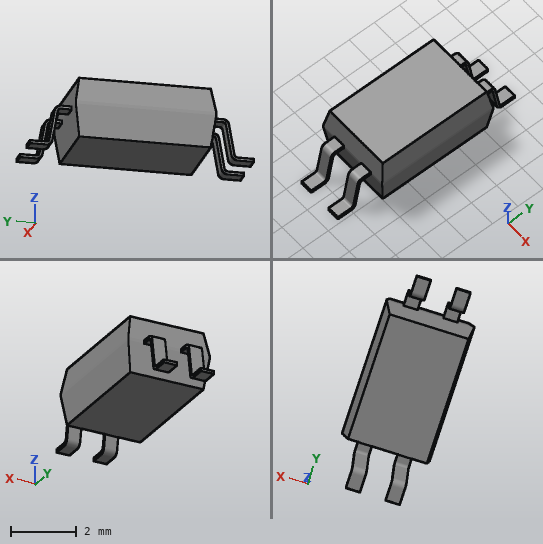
import cadquery as cq
import math

LENGTH_OVER_LEADS = 7.0
TOTAL_HEIGHT = 2.1

BODY_WIDTH = 2.8
BODY_LENGTH = 4.4
BODY_STANDOFF = 0.2
TOP_DRAFT_ANGLE = 10.0
BOTTOM_DRAFT_ANGLE = 8.0

LEAD_WIDTH = 0.45
LEAD_THICKNESS = 0.1
LEAD_PITCH = 1.27
LEAD_TOP = 1.3
LEAD_INNER_RADIUS = 0.1
LEAD_BEND_ANGLE = 80.0
FOOT_FLAT_LENGTH = 0.505

BAND_TOP = LEAD_TOP
BAND_BOTTOM = LEAD_TOP - LEAD_THICKNESS


def make_body():
    """Straight band at the parting line, tapering inwards above and below it."""
    band = (
        cq.Workplane("XY", origin=(0, 0, BAND_BOTTOM))
        .rect(BODY_WIDTH, BODY_LENGTH)
        .extrude(BAND_TOP - BAND_BOTTOM)
    )
    upper = (
        cq.Workplane("XY", origin=(0, 0, BAND_TOP))
        .rect(BODY_WIDTH, BODY_LENGTH)
        .extrude(TOTAL_HEIGHT - BAND_TOP, taper=TOP_DRAFT_ANGLE)
    )
    lower = (
        cq.Workplane("XY", origin=(0, 0, BAND_BOTTOM))
        .rect(BODY_WIDTH, BODY_LENGTH)
        .extrude(-(BAND_BOTTOM - BODY_STANDOFF), taper=BOTTOM_DRAFT_ANGLE)
    )
    return band.union(upper).union(lower)


def make_lead(x_centre):
    """Gull-wing lead on the +Y end: a strip swept along its bent centre line."""
    bend = math.radians(LEAD_BEND_ANGLE)
    radius = LEAD_INNER_RADIUS + LEAD_THICKNESS / 2
    arc_run = radius * math.sin(bend)
    arc_drop = radius * (1 - math.cos(bend))

    root_y = BODY_LENGTH / 2
    tip_y = LENGTH_OVER_LEADS / 2
    shoulder_z = LEAD_TOP - LEAD_THICKNESS / 2
    foot_z = LEAD_THICKNESS / 2

    foot_start_y = tip_y - FOOT_FLAT_LENGTH
    leg_bottom_y = foot_start_y - arc_run
    leg_bottom_z = foot_z + arc_drop
    leg_top_z = shoulder_z - arc_drop
    leg_top_y = leg_bottom_y - (leg_top_z - leg_bottom_z) / math.tan(bend)
    shoulder_end_y = leg_top_y - arc_run

    centre_line = (
        cq.Workplane("YZ", origin=(x_centre, 0, 0))
        .moveTo(root_y, shoulder_z)
        .lineTo(shoulder_end_y, shoulder_z)
        .tangentArcPoint((leg_top_y, leg_top_z), relative=False)
        .lineTo(leg_bottom_y, leg_bottom_z)
        .tangentArcPoint((foot_start_y, foot_z), relative=False)
        .lineTo(tip_y, foot_z)
    )
    return (
        cq.Workplane("XZ", origin=(x_centre, root_y, shoulder_z))
        .rect(LEAD_WIDTH, LEAD_THICKNESS)
        .sweep(centre_line)
    )


result = make_body()
for side in (-1, 1):
    lead = make_lead(side * LEAD_PITCH / 2)
    result = result.union(lead).union(lead.mirror("XZ"))